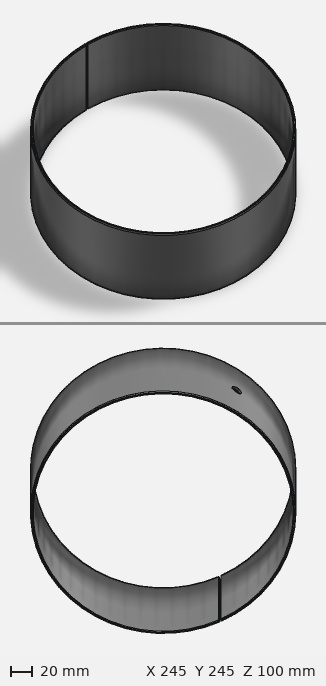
import cadquery as cq
import math

outer_diameter = 245.0
wall = 2.5
height = 100.0
split_angle = 1.0

outer_bevel_height = 1.8
outer_bevel_angle = 20.0

inner_bevel = 0.8

hole_diameter = 10.0
hole_angle = 59.0

outer_radius = outer_diameter / 2
inner_radius = outer_radius - wall


def make_band():
    """Revolve the bevelled wall section from the -X axis, leaving the split open."""
    rim_top = height / 2
    outer_wall_top = rim_top - outer_bevel_height
    inner_wall_top = rim_top - inner_bevel
    rim_outer = outer_radius - outer_bevel_height * math.tan(math.radians(outer_bevel_angle))
    rim_inner = inner_radius + inner_bevel
    section = (
        cq.Workplane("XZ")
        .polyline(
            [
                (-rim_inner, -rim_top),
                (-rim_outer, -rim_top),
                (-outer_radius, -outer_wall_top),
                (-outer_radius, outer_wall_top),
                (-rim_outer, rim_top),
                (-rim_inner, rim_top),
                (-inner_radius, inner_wall_top),
                (-inner_radius, -inner_wall_top),
            ]
        )
        .close()
    )
    return section.revolve(360 - split_angle, (0, 0, 0), (0, 1, 0))


def make_hole():
    """Pin running outwards from the band axis, through one wall only."""
    return (
        cq.Workplane("YZ")
        .circle(hole_diameter / 2)
        .extrude(outer_diameter)
        .rotate((0, 0, 0), (0, 0, 1), hole_angle)
    )


result = make_band().cut(make_hole())